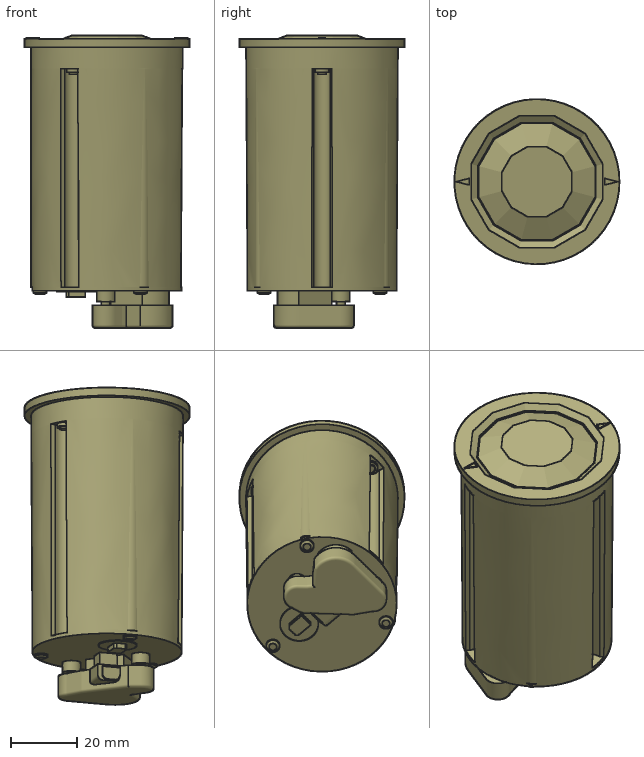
import math

import cadquery as cq


flange_diameter = 50.0
flange_bottom = -2.5
collar_diameter = 46.0
collar_bottom = -9.0
base_diameter = 45.25
body_bottom = -75.0
base_bottom = -76.2

facet_count = 12
recess_top_flats = 39.8
recess_floor_flats = 35.7
recess_slope_depth = 1.3
recess_depth = 1.7
dome_base_flats = 35.2
dome_top_flats = 21.2
dome_top = 1.1

arrow_tip_radius = 24.4
arrow_tail_radius = 20.5
arrow_half_width = 1.0
arrow_height = 0.3

screw_circle_radius = 20.25
boss_angles = (60, 180, 300)
groove_angles = (0, 120, 240)
boss_diameter = 5.5
groove_root_radius = 2.5
groove_flare_radius = 21.3
groove_top_width = 6.1
groove_bottom_width = 6.8
screw_head_diameter = 4.1
screw_head_height = 1.0
screw_head_chamfer_height = 0.5
screw_head_chamfer_width = 0.9
screw_tip_diameter = 2.5
screw_tip_bottom = -10.6
screw_collar_bottom = -10.0

outlet_x = -9.4
outlet_pad_diameter = 11.6
outlet_pad_height = 0.3
outlet_length = 5.8
outlet_width = 4.2
outlet_height = 1.85
outlet_chamfer = 0.7

plug_top = -80.5
plug_bottom = -87.4
plug_edge_radius = 0.9
side_lobe_radius = 4.0
front_lobe = (-0.4, -10.65)
back_lobe = (15.9, 5.7)
corner_lobe = (12.3, -7.0)
corner_lobe_radius = 7.6
front_lobe_exit_x = 2.3
front_lobe_entry_y = -9.56
notch_points = [(4.5, -11.5), (5.9, -10.5)]
notch_exit_x = 10.1
diagonal_face_points = [(8.05, 5.3), (-3.0, -5.75)]
back_lobe_exit_y = 8.4
toward_front_left = 225
toward_front_right = -45
toward_back_right = 45
post_diameter = 5.5
post_bottom = -79.4
pin_diameter = 2.7
web_setback = 1.1
web_edge = (1.1, -5.75)
web_front_x = 10.7
web_back = (10.75, 2.95)

tab_y_min = -3.6
tab_y_max = 2.0
tab_stem_x = 1.1
tab_foot_x = -1.6
tab_inner_x = 6.0
tab_foot_top = -81.1
tab_foot_bottom = -85.0
tab_corner_radius = 1.5
cradle_x = -1.2
cradle_y_max = 3.4
cradle_bottom = -85.4


def cylinder(diameter, bottom, top, center=(0, 0)):
    """Upright cylinder between two heights."""
    disc = cq.Workplane("XY", origin=(center[0], center[1], bottom)).circle(diameter / 2)
    return disc.extrude(top - bottom)


def frustum(bottom_diameter, top_diameter, bottom, top):
    """Round tapered body between two heights."""
    lower = cq.Workplane("XY", origin=(0, 0, bottom)).circle(bottom_diameter / 2)
    return lower.workplane(offset=top - bottom).circle(top_diameter / 2).loft()


def faceted_frustum(bottom_flats, top_flats, bottom, top):
    """Tapered polygon prism with one flat facing each of the X and Y axes."""
    across_corners = 1 / math.cos(math.pi / facet_count)
    half_step = 180 / facet_count
    lower = cq.Workplane("XY", origin=(0, 0, bottom)).polygon(facet_count, bottom_flats * across_corners)
    upper = lower.workplane(offset=top - bottom).polygon(facet_count, top_flats * across_corners)
    return upper.loft(ruled=True).rotate((0, 0, 0), (0, 0, 1), half_step)


def on_circle(center, radius, angle):
    """Point on a circle at an angle from +X."""
    turn = math.radians(angle)
    return (center[0] + radius * math.cos(turn), center[1] + radius * math.sin(turn))


def polar(angle):
    """Point on the screw pitch circle."""
    return on_circle((0, 0), screw_circle_radius, angle)


def front_point(center, radius, x):
    """Point at the given x on the -Y half of a circle."""
    return (x, center[1] - math.sqrt(radius**2 - (x - center[0]) ** 2))


def left_point(center, radius, y):
    """Point at the given y on the -X half of a circle."""
    return (center[0] - math.sqrt(radius**2 - (y - center[1]) ** 2), y)


def make_housing():
    housing = cylinder(flange_diameter, flange_bottom, 0)
    housing = housing.union(cylinder(collar_diameter, collar_bottom, flange_bottom))
    housing = housing.union(frustum(base_diameter, collar_diameter, body_bottom, collar_bottom))
    for angle in boss_angles:
        housing = housing.union(cylinder(boss_diameter, body_bottom, collar_bottom, polar(angle)))
    for angle in groove_angles:
        housing = housing.cut(make_groove(angle))
        housing = housing.union(make_screw_end(angle))
    return housing.union(cylinder(base_diameter, base_bottom, body_bottom))


def groove_profile(plane, mouth_width):
    """Round-bottomed channel section, open past the body surface."""
    mouth_radius = collar_diameter / 2
    outer_radius = flange_diameter / 2
    slope = (mouth_width / 2 - groove_root_radius) / (mouth_radius - groove_flare_radius)
    outer_half_width = groove_root_radius + slope * (outer_radius - groove_flare_radius)
    return (
        plane.moveTo(outer_radius, -outer_half_width)
        .lineTo(groove_flare_radius, -groove_root_radius)
        .lineTo(screw_circle_radius, -groove_root_radius)
        .threePointArc(
            (screw_circle_radius - groove_root_radius, 0),
            (screw_circle_radius, groove_root_radius),
        )
        .lineTo(groove_flare_radius, groove_root_radius)
        .lineTo(outer_radius, outer_half_width)
        .close()
    )


def make_groove(angle):
    """Channel along the body whose mouth widens toward the base."""
    lower = groove_profile(cq.Workplane("XY", origin=(0, 0, body_bottom)), groove_bottom_width)
    upper = groove_profile(lower.workplane(offset=collar_bottom - body_bottom), groove_top_width)
    return upper.loft(ruled=True).rotate((0, 0, 0), (0, 0, 1), angle)


def make_screw_end(angle):
    """Stepped screw end under the collar, at the top of a groove."""
    collar = cylinder(screw_head_diameter, screw_collar_bottom, collar_bottom, polar(angle))
    return collar.union(cylinder(screw_tip_diameter, screw_tip_bottom, screw_collar_bottom, polar(angle)))


def make_screw_head(angle):
    """Chamfered screw head under the base disc."""
    head = cylinder(screw_head_diameter, base_bottom - screw_head_height, base_bottom, polar(angle))
    return head.faces("<Z").chamfer(screw_head_chamfer_height, screw_head_chamfer_width)


def add_dome(housing):
    recess = faceted_frustum(recess_floor_flats, recess_top_flats, -recess_slope_depth, 0)
    gap = faceted_frustum(recess_floor_flats, recess_floor_flats, -recess_depth, -recess_slope_depth)
    dome = faceted_frustum(dome_base_flats, dome_top_flats, -recess_depth, dome_top)
    return housing.cut(recess).cut(gap).union(dome)


def make_arrow(side):
    """Flat triangle pointing outward; side is +1 or -1 along X."""
    points = [
        (side * arrow_tip_radius, 0),
        (side * arrow_tail_radius, arrow_half_width),
        (side * arrow_tail_radius, -arrow_half_width),
    ]
    return cq.Workplane("XY").polyline(points).close().extrude(arrow_height)


def make_outlet():
    pad = cylinder(outlet_pad_diameter, base_bottom - outlet_pad_height, base_bottom, (outlet_x, 0))
    block = cq.Workplane("XY", origin=(outlet_x, 0, base_bottom)).rect(outlet_length, outlet_width)
    block = block.extrude(-outlet_height).edges("|Z and <X").chamfer(outlet_chamfer)
    return pad.union(block)


def make_plug_plate():
    """Plate outlined by its three lobes, a front notch and a diagonal back face."""
    outline = (
        cq.Workplane("XY", origin=(0, 0, plug_bottom))
        .moveTo(*left_point(front_lobe, side_lobe_radius, front_lobe_entry_y))
        .threePointArc(
            on_circle(front_lobe, side_lobe_radius, toward_front_left),
            front_point(front_lobe, side_lobe_radius, front_lobe_exit_x),
        )
    )
    for point in notch_points:
        outline = outline.lineTo(*point)
    outline = (
        outline.lineTo(*front_point(corner_lobe, corner_lobe_radius, notch_exit_x))
        .threePointArc(
            on_circle(corner_lobe, corner_lobe_radius, toward_front_right),
            on_circle(corner_lobe, corner_lobe_radius, 0),
        )
        .lineTo(*on_circle(back_lobe, side_lobe_radius, 0))
        .threePointArc(
            on_circle(back_lobe, side_lobe_radius, toward_back_right),
            left_point(back_lobe, side_lobe_radius, back_lobe_exit_y),
        )
    )
    for point in diagonal_face_points:
        outline = outline.lineTo(*point)
    plate = outline.close().extrude(plug_top - plug_bottom)
    return plate.faces("<Z").edges().fillet(plug_edge_radius)


def make_web():
    """Wall between base and plate, set back from the corner lobe."""
    web_radius = corner_lobe_radius - web_setback
    outline = (
        cq.Workplane("XY", origin=(0, 0, plug_top))
        .moveTo(*web_edge)
        .lineTo(*front_point(corner_lobe, web_radius, web_front_x))
        .threePointArc(
            on_circle(corner_lobe, web_radius, toward_front_right),
            on_circle(corner_lobe, web_radius, 0),
        )
        .lineTo(*web_back)
        .close()
    )
    return outline.extrude(base_bottom - plug_top)


def tab_block(outer_x, y_max, bottom, top):
    """Block reaching into the plug from outer_x, between two heights."""
    size = (tab_inner_x - outer_x, y_max - tab_y_min, top - bottom)
    block = cq.Workplane("XY").box(*size, centered=False)
    return block.translate((outer_x, tab_y_min, bottom))


def round_lower_corners(block):
    return block.faces("<Z").edges("|X").fillet(tab_corner_radius)


def make_tab():
    stem = tab_block(tab_stem_x, tab_y_max, tab_foot_top, base_bottom)
    foot = round_lower_corners(tab_block(tab_foot_x, tab_y_max, tab_foot_bottom, tab_foot_top))
    cradle = round_lower_corners(tab_block(cradle_x, cradle_y_max, cradle_bottom, plug_top))
    return stem.union(foot).union(cradle)


def make_plug():
    plug = make_plug_plate().union(make_web()).union(make_tab())
    for center in (front_lobe, back_lobe):
        plug = plug.union(cylinder(post_diameter, post_bottom, base_bottom, center))
        plug = plug.union(cylinder(pin_diameter, plug_top, post_bottom, center))
    return plug


result = add_dome(make_housing())
for side in (1, -1):
    result = result.union(make_arrow(side))
for angle in boss_angles:
    result = result.union(make_screw_head(angle))
result = result.union(make_outlet()).union(make_plug())